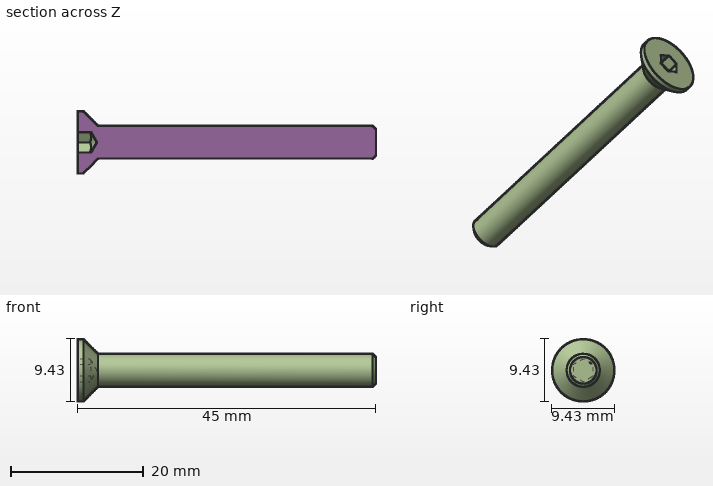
import cadquery as cq
import math

LENGTH = 45.0
SHANK_DIAMETER = 5.0
HEAD_DIAMETER = 9.43
HEAD_HEIGHT = 3.1
COUNTERSINK_ANGLE = 90.0
TIP_CHAMFER = 0.5

SOCKET_SIDES = 6
SOCKET_ACROSS_FLATS = 3.0
SOCKET_DEPTH = 1.9
SOCKET_CONE_ANGLE = 120.0

SHANK_RADIUS = SHANK_DIAMETER / 2
HEAD_RADIUS = HEAD_DIAMETER / 2
COUNTERSINK_LENGTH = (HEAD_RADIUS - SHANK_RADIUS) / math.tan(math.radians(COUNTERSINK_ANGLE / 2))
RIM_LENGTH = HEAD_HEIGHT - COUNTERSINK_LENGTH

SOCKET_CORNER_RADIUS = SOCKET_ACROSS_FLATS / 2 / math.cos(math.pi / SOCKET_SIDES)
SOCKET_CONE_LENGTH = SOCKET_CORNER_RADIUS / math.tan(math.radians(SOCKET_CONE_ANGLE / 2))
SOCKET_TOTAL_DEPTH = SOCKET_DEPTH + SOCKET_CONE_LENGTH


def revolve_about_x(profile):
    """Close a half profile along the X axis and turn it into a solid."""
    return profile.close().revolve(360, (0, 0, 0), (1, 0, 0))


def screw_body():
    """Head rim, countersink cone, shank and chamfered tip in one revolve."""
    profile = (
        cq.Workplane("XY")
        .lineTo(0, HEAD_RADIUS)
        .lineTo(RIM_LENGTH, HEAD_RADIUS)
        .lineTo(HEAD_HEIGHT, SHANK_RADIUS)
        .lineTo(LENGTH - TIP_CHAMFER, SHANK_RADIUS)
        .lineTo(LENGTH, SHANK_RADIUS - TIP_CHAMFER)
        .lineTo(LENGTH, 0)
    )
    return revolve_about_x(profile)


def hex_socket():
    """Hexagonal prism with corners at +Z and -Z, ended by a drill-point cone."""
    corners = []
    for side in range(SOCKET_SIDES):
        angle = 2 * math.pi * side / SOCKET_SIDES
        y = SOCKET_CORNER_RADIUS * math.sin(angle)
        z = SOCKET_CORNER_RADIUS * math.cos(angle)
        corners.append((y, z))
    prism = cq.Workplane("YZ").polyline(corners).close().extrude(SOCKET_TOTAL_DEPTH)

    drilled_hole = revolve_about_x(
        cq.Workplane("XY")
        .lineTo(0, SOCKET_CORNER_RADIUS)
        .lineTo(SOCKET_DEPTH, SOCKET_CORNER_RADIUS)
        .lineTo(SOCKET_TOTAL_DEPTH, 0)
    )
    return prism.intersect(drilled_hole)


result = screw_body().cut(hex_socket())